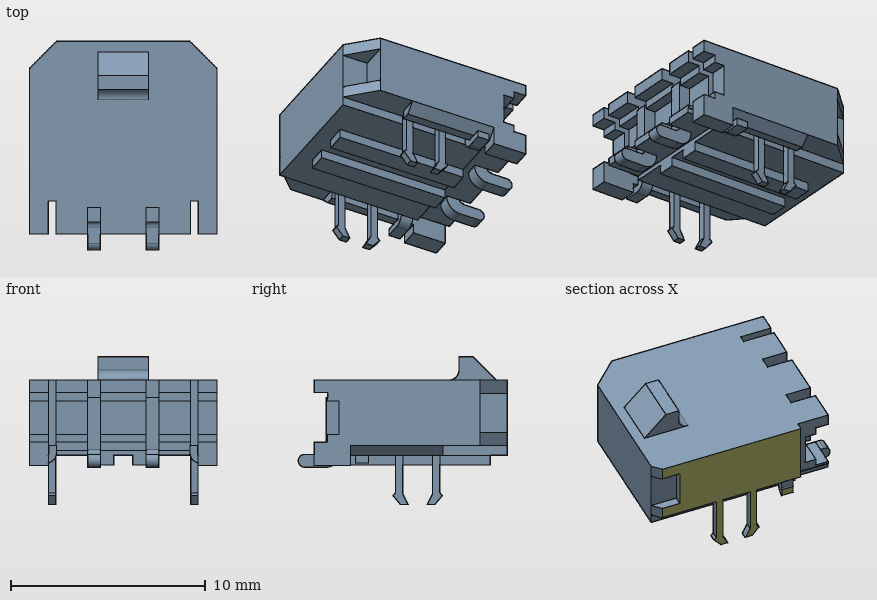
import cadquery as cq
import math


WIDTH = 9.65
LENGTH = 9.92
HEIGHT = 7.61
HOUSING_BOTTOM = -3.36
CORNER_CUT = 1.41
NOTCH_TOP = -0.69
NOTCH_BOTTOM = -2.70

SHALLOW_RECESS = 0.695
DEEP_RECESS = 1.285
TOP_LIP_THICKNESS = 0.65
DEEP_RECESS_TOP = -1.07
DEEP_RECESS_BOTTOM = -2.81
BOTTOM_LIP_TOP = -3.20
BOTTOM_LIP_BOTTOM = -3.62

BASE_HALF_WIDTH = 3.42
BASE_BOTTOM = -3.87
RAIL_END = 6.62
CORNER_BLOCK_DEPTH = 1.86
CORNER_BLOCK_BOTTOM = -4.40
RIB_INNER = 0.483
RIB_OUTER = 1.50
RIB_BOTTOM = -4.37
RIB_END = 9.05

LATCH_WIDTH = 2.60
LATCH_HEIGHT = 1.20
LATCH_FRONT = 7.43
LATCH_CREST_END = 8.16
LATCH_FILLET = 0.50

PIN_PITCH = 3.00
PIN_WIDTH = 0.66
PIN_THICKNESS = 0.67
PIN_TOP = -0.89
PIN_FRONT = 0.62
PIN_BACK = 1.36
PIN_INNER_RADIUS = 0.24
PIN_OUTER_RADIUS = 0.76
PIN_BOTTOM = -4.49
PIN_REACH = 0.82

NAIL_X = 3.655
NAIL_THICKNESS = 0.39
NAIL_OUTER_FACE = NAIL_X + NAIL_THICKNESS / 2
NAIL_SLOT_DEPTH = 1.70
LEGS_CENTRE = 5.315
LEG_INNER = 0.755
LEG_OUTER = 1.145
HOOK_TIP = 1.275
LEG_FOOT_INNER = 0.48
LEG_FOOT_OUTER = 0.88
HOOK_OUTER_START = -5.80
HOOK_INNER_START = -5.86
HOOK_TIP_Z = -5.94
LEG_BOTTOM = LATCH_HEIGHT - HEIGHT
TAB_FRONT = 2.13
TAB_WIDTH = 0.66
TAB_END = 4.80
TAB_TOP = -3.88
TAB_BEND_RADIUS = 0.14

SIDES = (-1, 1)
PIN_CENTRES = [side * PIN_PITCH / 2 for side in SIDES]


def box(x_range, y_range, z_range):
    """Box between pairs of limits, given in either order."""
    x0, x1 = sorted(x_range)
    y0, y1 = sorted(y_range)
    z0, z1 = sorted(z_range)
    return cq.Workplane("XY").box(x1 - x0, y1 - y0, z1 - z0, centered=False).translate((x0, y0, z0))


def centred_box(x_centre, width, y_range, z_range):
    return box((x_centre - width / 2, x_centre + width / 2), y_range, z_range)


def extrude_across(profile, x_centre, width):
    """Extrude a closed YZ profile symmetrically about x_centre."""
    return profile.extrude(width / 2, both=True).translate((x_centre, 0, 0))


def arc_middle(centre, radius, degrees):
    angle = math.radians(degrees)
    return (centre[0] + radius * math.cos(angle), centre[1] + radius * math.sin(angle))


def make_housing():
    housing = centred_box(0, WIDTH, (0, LENGTH), (HOUSING_BOTTOM, 0))
    housing = housing.edges("|Z and >Y").chamfer(CORNER_CUT)
    for side in SIDES:
        outer = side * WIDTH / 2
        inner = outer - side * CORNER_CUT
        housing = housing.cut(box((inner, outer), (LENGTH - CORNER_CUT, LENGTH), (NOTCH_BOTTOM, NOTCH_TOP)))
    shallow = centred_box(0, WIDTH, (0, SHALLOW_RECESS), (BOTTOM_LIP_TOP, -TOP_LIP_THICKNESS))
    deep = centred_box(0, WIDTH, (0, DEEP_RECESS), (DEEP_RECESS_BOTTOM, DEEP_RECESS_TOP))
    return housing.cut(shallow).cut(deep)


def make_side_rail(side):
    """Rail with a 45 degree outer bevel, standing outside the groove that holds the nail."""
    outer_edge = side * WIDTH / 2
    inner_edge = side * NAIL_OUTER_FACE
    bevel = HOUSING_BOTTOM - BASE_BOTTOM
    outline = [
        (outer_edge, HOUSING_BOTTOM),
        (inner_edge, HOUSING_BOTTOM),
        (inner_edge, BASE_BOTTOM),
        (outer_edge - side * bevel, BASE_BOTTOM),
    ]
    profile = cq.Workplane("XZ", origin=(0, CORNER_BLOCK_DEPTH, 0)).polyline(outline).close()
    return profile.extrude(CORNER_BLOCK_DEPTH - RAIL_END)


def make_base():
    """Base slab with its front lip, corner blocks, side rails and ribs."""
    slab_width = 2 * BASE_HALF_WIDTH
    base = centred_box(0, slab_width, (CORNER_BLOCK_DEPTH, LENGTH), (BASE_BOTTOM, HOUSING_BOTTOM))
    front_lip = centred_box(0, slab_width, (0, CORNER_BLOCK_DEPTH), (BOTTOM_LIP_BOTTOM, HOUSING_BOTTOM))
    base = base.union(front_lip)
    block_heights = (CORNER_BLOCK_BOTTOM, HOUSING_BOTTOM)
    rib_heights = (RIB_BOTTOM, BASE_BOTTOM)
    for side in SIDES:
        block = box((side * NAIL_OUTER_FACE, side * WIDTH / 2), (0, CORNER_BLOCK_DEPTH), block_heights)
        rib = box((side * RIB_INNER, side * RIB_OUTER), (CORNER_BLOCK_DEPTH, RIB_END), rib_heights)
        base = base.union(block).union(rib).union(make_side_rail(side))
    return base


def make_front_slots():
    """Cutters for the vertical slots that open the front edge at the pins and the nails."""
    slots = []
    for x_centre in PIN_CENTRES:
        slots.append(centred_box(x_centre, PIN_WIDTH, (0, PIN_BACK), (CORNER_BLOCK_BOTTOM, 0)))
    for side in SIDES:
        slots.append(centred_box(side * NAIL_X, NAIL_THICKNESS, (0, NAIL_SLOT_DEPTH), (HOUSING_BOTTOM, 0)))
    return slots


def make_latch():
    """Hook with a 45 degree ramp at the rear and a concave fillet at its front foot."""
    fillet_centre = (LATCH_FRONT - LATCH_FILLET, LATCH_FILLET)
    profile = (
        cq.Workplane("YZ")
        .moveTo(LATCH_FRONT, LATCH_HEIGHT)
        .lineTo(LATCH_CREST_END, LATCH_HEIGHT)
        .lineTo(LATCH_CREST_END + LATCH_HEIGHT, 0)
        .lineTo(LATCH_FRONT - LATCH_FILLET, 0)
        .threePointArc(arc_middle(fillet_centre, LATCH_FILLET, -45), (LATCH_FRONT, LATCH_FILLET))
        .close()
    )
    return extrude_across(profile, 0, LATCH_WIDTH)


def make_pin(x_centre):
    """Upright bar bent forward into a round-ended solder tail."""
    tail_top = PIN_BOTTOM + PIN_THICKNESS
    tip_radius = PIN_THICKNESS / 2
    tip_start = tip_radius - PIN_REACH
    inner_centre = (PIN_FRONT - PIN_INNER_RADIUS, tail_top + PIN_INNER_RADIUS)
    outer_centre = (PIN_BACK - PIN_OUTER_RADIUS, PIN_BOTTOM + PIN_OUTER_RADIUS)
    profile = (
        cq.Workplane("YZ")
        .moveTo(PIN_FRONT, PIN_TOP)
        .lineTo(PIN_BACK, PIN_TOP)
        .lineTo(PIN_BACK, outer_centre[1])
        .threePointArc(arc_middle(outer_centre, PIN_OUTER_RADIUS, -45), (outer_centre[0], PIN_BOTTOM))
        .lineTo(tip_start, PIN_BOTTOM)
        .threePointArc((-PIN_REACH, PIN_BOTTOM + tip_radius), (tip_start, tail_top))
        .lineTo(inner_centre[0], tail_top)
        .threePointArc(arc_middle(inner_centre, PIN_INNER_RADIUS, -45), (PIN_FRONT, inner_centre[1]))
        .close()
    )
    return extrude_across(profile, x_centre, PIN_WIDTH)


def make_leg(x_centre, direction):
    """Nail leg whose hook points along Y in the given direction, away from the other leg."""
    outline = [
        (LEG_INNER, HOUSING_BOTTOM),
        (LEG_OUTER, HOUSING_BOTTOM),
        (LEG_OUTER, HOOK_OUTER_START),
        (HOOK_TIP, HOOK_TIP_Z),
        (LEG_FOOT_OUTER, LEG_BOTTOM),
        (LEG_FOOT_INNER, LEG_BOTTOM),
        (LEG_INNER, HOOK_INNER_START),
    ]
    points = [(LEGS_CENTRE + direction * offset, z) for offset, z in outline]
    profile = cq.Workplane("YZ").polyline(points).close()
    return extrude_across(profile, x_centre, NAIL_THICKNESS)


def make_solder_tab():
    """Tab of the +X nail, coming down beside the base and bending outward."""
    outer_radius = TAB_BEND_RADIUS + NAIL_THICKNESS
    tab_bottom = TAB_TOP - NAIL_THICKNESS
    upright_outer = BASE_HALF_WIDTH + NAIL_THICKNESS
    bend_centre = (upright_outer + TAB_BEND_RADIUS, TAB_TOP + TAB_BEND_RADIUS)
    return (
        cq.Workplane("XZ", origin=(0, TAB_FRONT, 0))
        .moveTo(BASE_HALF_WIDTH, HOUSING_BOTTOM)
        .lineTo(BASE_HALF_WIDTH, bend_centre[1])
        .threePointArc(arc_middle(bend_centre, outer_radius, -135), (bend_centre[0], tab_bottom))
        .lineTo(TAB_END, tab_bottom)
        .lineTo(TAB_END, TAB_TOP)
        .lineTo(bend_centre[0], TAB_TOP)
        .threePointArc(arc_middle(bend_centre, TAB_BEND_RADIUS, -135), (upright_outer, bend_centre[1]))
        .lineTo(upright_outer, HOUSING_BOTTOM)
        .close()
        .extrude(-TAB_WIDTH)
    )


result = make_housing().union(make_base())
for slot in make_front_slots():
    result = result.cut(slot)
result = result.union(make_latch())

for pin_centre in PIN_CENTRES:
    result = result.union(make_pin(pin_centre))

solder_tab = make_solder_tab()
result = result.union(solder_tab).union(solder_tab.mirror("YZ"))
for side in SIDES:
    for direction in SIDES:
        result = result.union(make_leg(side * NAIL_X, direction))